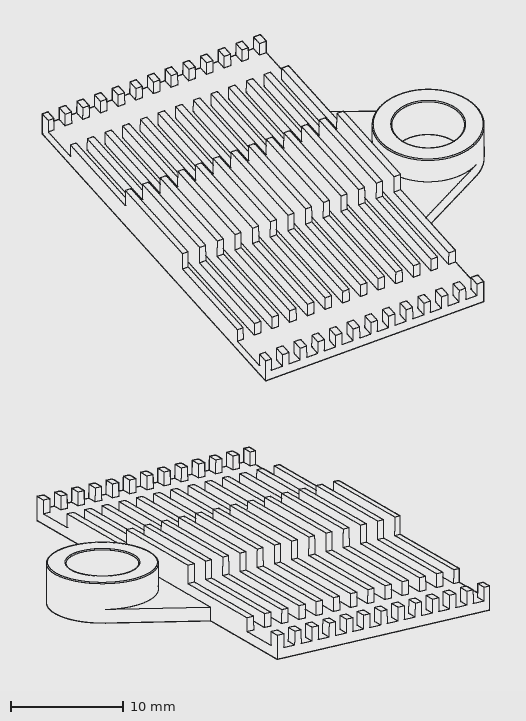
import cadquery as cq
import math

plate_length = 40.0
plate_width = 22.4
plate_thickness = 1.0

groove_count = 12
groove_floor_width = 1.1
groove_top_width = 1.2
back_fin_base = 0.7
front_fin_base = 0.6
first_groove_y = plate_width / 2 - back_fin_base - groove_floor_width / 2
last_groove_y = -plate_width / 2 + front_fin_base + groove_floor_width / 2
groove_pitch = (first_groove_y - last_groove_y) / (groove_count - 1)

low_fin_length = 29.9
low_fin_top = 2.3
high_fin_length = 10.25
high_fin_top = 4.1
end_tab_length = 1.1

ring_diameter = 10.0
ring_bore = 6.5
ring_height = 3.9
ring_chamfer = 0.1
ring_radius = ring_diameter / 2
lug_reach = 5.75
ring_y = plate_width / 2 + lug_reach
web_base_width = 17.85
web_thickness = 1.3

peg_diameter = 1.5
peg_length = 1.2
peg_spacing = 24.0


def make_block(length, height, x_center=0):
    """Block over the full plate width, standing on the plane of the plate underside."""
    return (
        cq.Workplane("XY")
        .center(x_center, 0)
        .rect(length, plate_width)
        .extrude(height)
    )


def make_finned_plate():
    """Stepped body with all grooves cut down to the plate surface."""
    tab_x = (plate_length - end_tab_length) / 2
    body = make_block(plate_length, plate_thickness)
    body = body.union(make_block(low_fin_length, low_fin_top))
    body = body.union(make_block(high_fin_length, high_fin_top))
    for side in (-1, 1):
        body = body.union(make_block(end_tab_length, low_fin_top, side * tab_x))
    for index in range(groove_count):
        body = body.cut(make_groove(first_groove_y - index * groove_pitch))
    return body


def make_groove(y_center):
    """Cutter for one groove with slightly drafted walls, as long as the plate."""
    half_floor = groove_floor_width / 2
    half_top = groove_top_width / 2
    return (
        cq.Workplane("YZ")
        .moveTo(y_center - half_floor, plate_thickness)
        .lineTo(y_center + half_floor, plate_thickness)
        .lineTo(y_center + half_top, high_fin_top)
        .lineTo(y_center - half_top, high_fin_top)
        .close()
        .extrude(plate_length / 2, both=True)
    )


def make_web():
    """Tapered web whose slanted sides are tangent to the ring."""
    half_base = web_base_width / 2
    corner_distance = math.hypot(half_base, lug_reach)
    corner_angle = math.atan2(-lug_reach, half_base)
    tangent_angle = corner_angle + math.acos(ring_radius / corner_distance)
    tangent_x = ring_radius * math.cos(tangent_angle)
    tangent_y = ring_y + ring_radius * math.sin(tangent_angle)
    return (
        cq.Workplane("XY")
        .moveTo(-half_base, plate_width / 2)
        .lineTo(half_base, plate_width / 2)
        .lineTo(tangent_x, tangent_y)
        .threePointArc((0, ring_y + ring_radius), (-tangent_x, tangent_y))
        .close()
        .extrude(web_thickness)
    )


def make_ring():
    """Ring with the outer and inner edges of its top face broken by a small chamfer."""
    return (
        cq.Workplane("XY")
        .center(0, ring_y)
        .circle(ring_radius)
        .circle(ring_bore / 2)
        .extrude(ring_height)
        .faces(">Z")
        .edges()
        .chamfer(ring_chamfer)
    )


def make_web_bore():
    """Cutter that continues the ring bore through the web."""
    return cq.Workplane("XY").center(0, ring_y).circle(ring_bore / 2).extrude(web_thickness)


def make_pegs():
    half_spacing = peg_spacing / 2
    return (
        cq.Workplane("XY")
        .pushPoints([(-half_spacing, 0), (half_spacing, 0)])
        .circle(peg_diameter / 2)
        .extrude(-peg_length)
    )


lug = make_web().cut(make_web_bore()).union(make_ring())
result = make_finned_plate().union(lug).union(make_pegs())